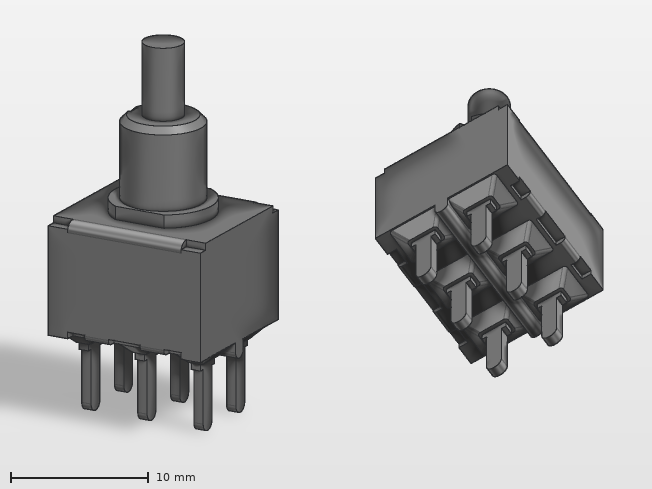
import cadquery as cq

HOUSING_LENGTH = 12.7
HOUSING_WIDTH = 11.45
HOUSING_HEIGHT = 8.9

FOLD_LENGTH = 9.47
FOLD_RADIUS = 0.8
CORNER_NOTCH_DEPTH = 0.54
BOTTOM_NOTCH_HEIGHT = 0.5
TAB_LENGTH = 2.0
TAB_CENTER_X = 2.3
TAB_RADIUS = 0.42

FLANGE_DIAMETER = 8.0
FLANGE_FLATS = 6.9
FLANGE_HEIGHT = 1.01
BUSHING_DIAMETER = 6.35
BUSHING_HEIGHT = 6.35
BUSHING_CHAMFER = 0.5
KEYWAY_WIDTH = 1.05
KEYWAY_FLOOR_X = -2.4
PLUNGER_DIAMETER = 3.1

RIB_WIDTH = 1.1
RIB_HEIGHT = 1.3
RIB_RADIUS = 0.54

PIN_PITCH_X = 4.68
PIN_PITCH_Y = 4.8
PIN_THICKNESS = 0.8
PIN_WIDTH = 1.3
PIN_LENGTH = 6.35
SHOULDER_WIDTH = 2.05
SHOULDER_DEPTH = 1.52
PAD_LENGTH = 3.15
PAD_WIDTH = 4.4
PAD_HEIGHT = 0.93
PAD_CORNER_RADIUS = 0.37

OVERALL_HEIGHT = 28.17

FLANGE_TOP = HOUSING_HEIGHT + FLANGE_HEIGHT
BUSHING_TOP = FLANGE_TOP + BUSHING_HEIGHT
PLUNGER_TOP = OVERALL_HEIGHT - PIN_LENGTH


def box(length, width, bottom, top, x=0.0, y=0.0):
    """Upright box centred on (x, y) between two heights."""
    height = top - bottom
    return cq.Workplane("XY").box(length, width, height).translate((x, y, bottom + height / 2))


def cylinder(diameter, bottom, top):
    """Round post on the Z axis between two heights."""
    return cq.Workplane("XY").workplane(offset=bottom).circle(diameter / 2).extrude(top - bottom)


def edge_strip(side, length, bottom, top, x=0.0):
    """Bar as deep as the fold, along the outer face on one Y side."""
    center_y = side * (HOUSING_WIDTH - FOLD_RADIUS) / 2
    return box(length, FOLD_RADIUS, bottom, top, x, center_y)


def folded_tab(side, x):
    """Tab filling the bottom notch, flush with the side, its lower outer edge rounded."""
    tab = edge_strip(side, TAB_LENGTH, 0, BOTTOM_NOTCH_HEIGHT, x)
    return tab.faces("<Z").edges(">Y" if side > 0 else "<Y").fillet(TAB_RADIUS)


def rod_along_x(diameter, length, y, z):
    """Round bar parallel to X, centred on X = 0."""
    profile = cq.Workplane("YZ").workplane(offset=-length / 2).center(y, z).circle(diameter / 2)
    return profile.extrude(length)


def make_housing():
    housing = box(HOUSING_LENGTH, HOUSING_WIDTH, 0, HOUSING_HEIGHT)
    fold_bottom = HOUSING_HEIGHT - FOLD_RADIUS
    for side in (-1, 1):
        notch_bottom = HOUSING_HEIGHT - CORNER_NOTCH_DEPTH
        housing = housing.cut(edge_strip(side, HOUSING_LENGTH, notch_bottom, HOUSING_HEIGHT))
        housing = housing.cut(edge_strip(side, FOLD_LENGTH, fold_bottom, HOUSING_HEIGHT))
        housing = housing.cut(edge_strip(side, FOLD_LENGTH, 0, BOTTOM_NOTCH_HEIGHT))
        fold_y = side * (HOUSING_WIDTH / 2 - FOLD_RADIUS)
        housing = housing.union(rod_along_x(2 * FOLD_RADIUS, FOLD_LENGTH, fold_y, fold_bottom))
        for end in (-1, 1):
            housing = housing.union(folded_tab(side, end * TAB_CENTER_X))
    return housing


def make_actuator():
    flange = cylinder(FLANGE_DIAMETER, HOUSING_HEIGHT, FLANGE_TOP)
    flange = flange.intersect(box(FLANGE_DIAMETER, FLANGE_FLATS, HOUSING_HEIGHT, FLANGE_TOP))
    bushing = cylinder(BUSHING_DIAMETER, FLANGE_TOP, BUSHING_TOP).faces(">Z").chamfer(BUSHING_CHAMFER)
    keyway_x = KEYWAY_FLOOR_X - BUSHING_DIAMETER / 2
    bushing = bushing.cut(box(BUSHING_DIAMETER, KEYWAY_WIDTH, FLANGE_TOP, BUSHING_TOP, keyway_x))
    return flange.union(bushing).union(cylinder(PLUNGER_DIAMETER, FLANGE_TOP, PLUNGER_TOP))


def make_rib():
    rib = box(HOUSING_LENGTH, RIB_WIDTH, -RIB_HEIGHT, 0)
    return rib.faces("<Z").edges("|X").fillet(RIB_RADIUS)


def make_terminal(x, y):
    """Tapered pad, shouldered blade and round tip of one terminal."""
    pad = (
        cq.Workplane("XY")
        .rect(PAD_LENGTH, PAD_WIDTH)
        .workplane(offset=-PAD_HEIGHT)
        .rect(PAD_LENGTH - 2 * PAD_HEIGHT, PAD_WIDTH - 2 * PAD_HEIGHT)
        .loft(ruled=True)
        .edges("not (|X or |Y)")
        .fillet(PAD_CORNER_RADIUS)
    )
    shoulder = box(PIN_THICKNESS, SHOULDER_WIDTH, -SHOULDER_DEPTH, 0)
    tip_center = PIN_WIDTH / 2 - PIN_LENGTH
    blade = box(PIN_THICKNESS, PIN_WIDTH, tip_center, 0)
    tip = rod_along_x(PIN_WIDTH, PIN_THICKNESS, 0, tip_center)
    return pad.union(shoulder).union(blade).union(tip).translate((x, y, 0))


result = make_housing().union(make_actuator()).union(make_rib())
for column in (-1, 0, 1):
    for row in (-0.5, 0.5):
        result = result.union(make_terminal(column * PIN_PITCH_X, row * PIN_PITCH_Y))